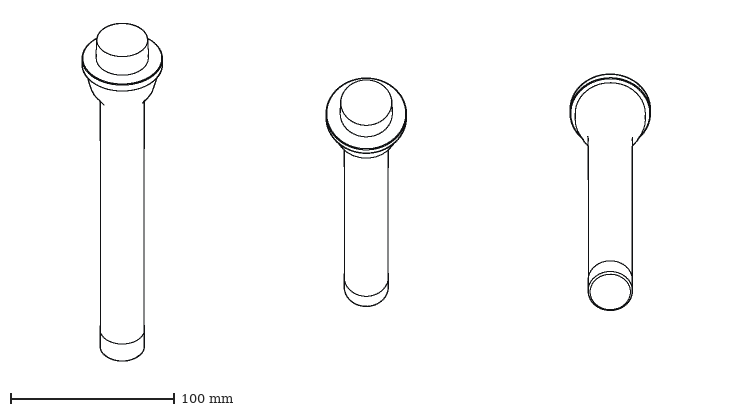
import cadquery as cq

neck_dia = 27.0
tip_dia = 27.2
pilot_dia = 31.8
shank_dia = 32.0
collar_dia = 43.0
flange_dia = 49.5

total_height = 250.0
tip_height = 15.0
lead_height = 3.0
neck_top = 120.5
taper_top = 195.0
flare_bottom = 200.2
collar_bottom = 221.8
flange_bottom = 229.5
flange_top = 235.2
pilot_height = 6.0

flare_low_dia = 29.2
flare_low_height = 205.2
flare_middle_dia = 36.8
flare_middle_height = (flare_bottom + collar_bottom) / 2
flare_start_direction = (0, 1)
flare_end_direction = (0.25, 1)

top_chamfer_height = 1.0
top_chamfer_width = 0.2
flange_chamfer = 0.5
tip_chamfer = 1.2


def make_tip():
    """Plain cylindrical tip with a chamfered lower edge."""
    tip = cq.Workplane("XY").circle(tip_dia / 2).extrude(tip_height)
    return tip.faces("<Z").edges().chamfer(tip_chamfer)


def make_holder():
    """Bar, flare, flange and shank, revolved as one body about the Z axis."""
    pilot_bottom = total_height - pilot_height
    profile = (
        cq.Workplane("XZ")
        .moveTo(0, tip_height)
        .lineTo(tip_dia / 2, tip_height)
        .lineTo(neck_dia / 2, tip_height + lead_height)
        .lineTo(neck_dia / 2, neck_top)
        .lineTo(tip_dia / 2, taper_top)
        .lineTo(tip_dia / 2, flare_bottom)
        .spline(
            [
                (flare_low_dia / 2, flare_low_height),
                (flare_middle_dia / 2, flare_middle_height),
                (collar_dia / 2, collar_bottom),
            ],
            tangents=[flare_start_direction, flare_end_direction],
            includeCurrent=True,
        )
        .lineTo(collar_dia / 2, flange_bottom)
        .lineTo(flange_dia / 2 - flange_chamfer, flange_bottom)
        .lineTo(flange_dia / 2, flange_bottom + flange_chamfer)
        .lineTo(flange_dia / 2, flange_top - flange_chamfer)
        .lineTo(flange_dia / 2 - flange_chamfer, flange_top)
        .lineTo(shank_dia / 2, flange_top)
        .lineTo(shank_dia / 2, pilot_bottom - lead_height)
        .lineTo(pilot_dia / 2, pilot_bottom)
        .lineTo(pilot_dia / 2, total_height - top_chamfer_height)
        .lineTo(pilot_dia / 2 - top_chamfer_width, total_height)
        .lineTo(0, total_height)
        .close()
    )
    return profile.revolve(360, (0, 0, 0), (0, 1, 0))


tip = make_tip()
holder = make_holder()

result = cq.Compound.makeCompound([tip.val(), holder.val()])